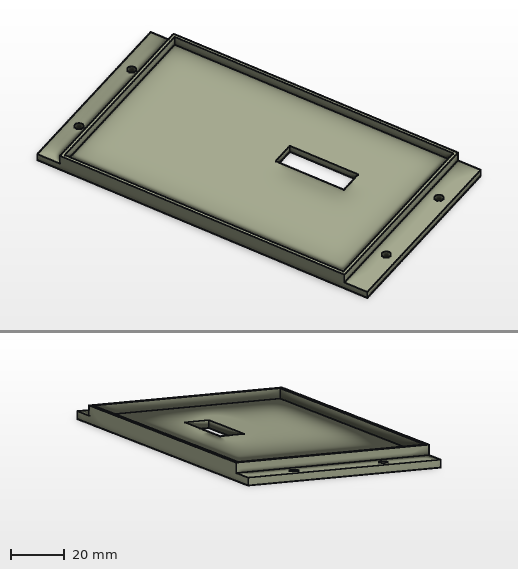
import cadquery as cq

length = 145.0
width = 80.0
height = 7.0

plate_thickness = 3.0
flange_length = 10.0

rim_length = length - 2 * flange_length
rim_wall = 1.3
rim_height = height - plate_thickness

hole_diameter = 3.5
hole_spacing_x = length - flange_length
hole_spacing_y = 37.1

window_length = 30.0
window_width = 10.0
window_center_x = 20.0
window_center_y = 8.7


def make_plate():
    """Flat base plate with its underside at Z = 0."""
    return cq.Workplane("XY").box(length, width, plate_thickness, centered=(True, True, False))


def make_rim():
    """Rectangular wall standing on top of the plate."""
    return (
        cq.Workplane("XY")
        .workplane(offset=plate_thickness)
        .rect(rim_length, width)
        .rect(rim_length - 2 * rim_wall, width - 2 * rim_wall)
        .extrude(rim_height)
    )


def make_mounting_holes():
    """Cutters for the four flange holes."""
    return (
        cq.Workplane("XY")
        .rect(hole_spacing_x, hole_spacing_y, forConstruction=True)
        .vertices()
        .circle(hole_diameter / 2)
        .extrude(plate_thickness)
    )


def make_window():
    """Cutter for the rectangular window."""
    return (
        cq.Workplane("XY")
        .center(window_center_x, window_center_y)
        .rect(window_length, window_width)
        .extrude(plate_thickness)
    )


result = make_plate().union(make_rim()).cut(make_mounting_holes()).cut(make_window())